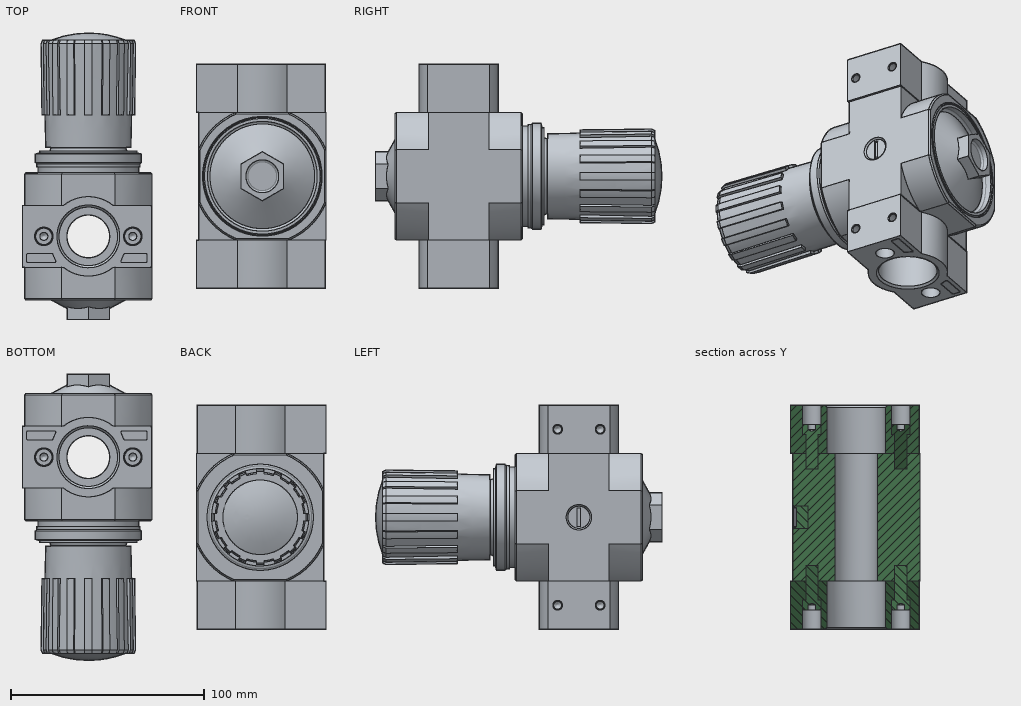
import cadquery as cq
import math


housing_half = 33.0
corner_radius = 35.75
arm_half_width = 15.6
end_chamfer = 0.8
flow_bore_dia = 22.0

bonnet_radius = 26.1
bead_radius = 26.8
bead_low_y = 36.0
bead_high_y = 37.5
ring_radius = 27.5
ring_low_y = 38.3
ring_shoulder_y = 42.6
ring_step_radius = 26.6
ring_step_y = 42.9
ring_top_radius = 50.38 / 2
ring_lip_y = 43.2
ring_top_y = 44.2
neck_base_radius = 40.0 / 2
neck_waist_radius = 39.0 / 2
neck_waist_y = 45.6

knob_base_y = 46.0
rib_start_y = 62.9
knob_chamfer_y = 99.7
knob_top_y = 101.5
dome_top_y = 105.2
dome_radius = 19.3
knob_base_radius = 22.1
knob_top_radius = 23.3
knob_edge_radius = 22.6
rib_start_radius = 24.05
rib_top_radius = 24.5
rib_edge_radius = 23.7
rib_width = 3.85
rib_count = 16

cap_dia = 61.0
cap_chamfer = 0.6
cap_bore_mouth_chamfer = 0.45
cap_depth = 9.0
cap_rim_inner_radius = 28.4
cap_fillet = 1.3
cap_floor_depth = 4.3
cone_slope = 0.535
hexagon_flats = 22.0
hexagon_end_y = -43.0
recess_dia = 17.0
recess_depth = 3.5
recess_fillet = 1.05

block_height = 25.0
block_left_x = -34.1
block_right_x = 32.6
block_half_depth = 16.0
boss_dia = 41.1
port_dia = 30.29
port_chamfer = 1.1
side_hole_dia = 4.13
side_hole_mouth_dia = 5.0
side_hole_depth = 8.0
side_hole_y = 11.0
drill_point_angle = 118.0
pad_inset = 2.2
pad_inner_x = 16.5
pad_slant = 2.0
pad_near_y = -8.9
pad_far_y = -13.5
pad_depth = 0.2
pad_corner_radius = 0.6

screw_x = 23.0
screw_head_dia = 9.6
screw_head_top_dia = 8.5
screw_head_height = 5.0
screw_sink = 10.0
shank_dia = 6.3
shank_depth_in_housing = 8.0
socket_dia = 4.13
socket_depth = 2.5

plug_dia = 11.45
plug_hole_mouth_dia = 13.16
plug_length = 7.0
plug_slot_length = 9.6
plug_slot_width = 1.8
plug_slot_depth = 1.0

block_top_z = housing_half + block_height
plug_face_x = -housing_half + (plug_hole_mouth_dia - plug_dia) / 2
screw_top_z = block_top_z - screw_sink
screw_seat_z = screw_top_z - screw_head_height
screw_tip_z = housing_half - shank_depth_in_housing


def box(x0, x1, y0, y1, z0, z1):
    return cq.Workplane("XY").box(x1 - x0, y1 - y0, z1 - z0, centered=False).translate((x0, y0, z0))


def y_cylinder(dia, y0, y1):
    """Cylinder about the Y axis."""
    return cq.Workplane("XZ", origin=(0, y1, 0)).circle(dia / 2).extrude(y1 - y0)


def turned_about_y(outline):
    """Turn an XY outline, with radius as X, about the Y axis."""
    return outline.close().revolve(360, (0, 0, 0), (0, 1, 0))


def drilled_hole(dia, depth):
    """Cutter that enters from the origin along +Z and ends in a drill point."""
    point_height = dia / 2 / math.tan(math.radians(drill_point_angle / 2))
    outline = (
        cq.Workplane("XZ")
        .lineTo(dia / 2, 0)
        .lineTo(dia / 2, depth)
        .lineTo(0, depth + point_height)
    )
    return outline.close().revolve(360, (0, 0, 0), (0, 1, 0))


def cone_frustum(start_dia, end_dia, height):
    """Cone from the origin along +Z."""
    return cq.Workplane("XY").circle(start_dia / 2).workplane(offset=height).circle(end_dia / 2).loft()


def along_x(shape):
    """Turn a shape so that its Z axis points along +X."""
    return shape.rotate((0, 0, 0), (0, 1, 0), 90)


def make_bonnet():
    outline = cq.Workplane("XY").moveTo(0, housing_half).polyline(
        [
            (bonnet_radius, housing_half),
            (bonnet_radius, bead_low_y),
            (bead_radius, bead_low_y),
            (bead_radius, bead_high_y),
            (ring_radius, ring_low_y),
            (ring_radius, ring_shoulder_y),
            (ring_step_radius, ring_step_y),
            (ring_top_radius, ring_lip_y),
            (ring_top_radius, ring_top_y),
            (neck_base_radius, ring_top_y),
            (neck_waist_radius, neck_waist_y),
            (neck_waist_radius, knob_base_y),
            (0, knob_base_y),
        ],
        includeCurrent=True,
    )
    return turned_about_y(outline)


def make_housing():
    side = 2 * housing_half
    barrel = cq.Workplane("XY").box(side, side, side)
    barrel = barrel.intersect(y_cylinder(2 * corner_radius, -housing_half, housing_half))
    barrel = barrel.faces("<Y or >Y").chamfer(end_chamfer)
    arms = cq.Workplane("XY").box(side, 2 * arm_half_width, side)
    body = barrel.union(arms).union(make_bonnet())

    body = body.cut(cq.Workplane("XY").circle(flow_bore_dia / 2).extrude(side, both=True))
    body = body.cut(y_cylinder(cap_dia, -housing_half, -housing_half + cap_depth))
    cap_bore_mouth_dia = cap_dia + 2 * cap_bore_mouth_chamfer
    cap_bore_mouth = cone_frustum(cap_bore_mouth_dia, cap_dia, cap_bore_mouth_chamfer)
    cap_bore_mouth = cap_bore_mouth.rotate((0, 0, 0), (1, 0, 0), -90)
    body = body.cut(cap_bore_mouth.translate((0, -housing_half, 0)))
    plug_hole = cone_frustum(plug_hole_mouth_dia, plug_dia, plug_face_x + housing_half)
    body = body.cut(along_x(plug_hole).translate((-housing_half, 0, 0)))
    plug_bore = cq.Workplane("XY").circle(plug_dia / 2).extrude(plug_length)
    body = body.cut(along_x(plug_bore).translate((plug_face_x, 0, 0)))
    for x in (-screw_x, screw_x):
        shank_hole = cq.Workplane("XY").circle(shank_dia / 2).extrude(shank_depth_in_housing)
        body = body.cut(shank_hole.translate((x, 0, screw_tip_z)))
        body = body.cut(shank_hole.translate((x, 0, -housing_half)))
    return body


def make_knob():
    core_outline = (
        cq.Workplane("XY")
        .moveTo(0, knob_base_y)
        .lineTo(knob_base_radius, knob_base_y)
        .lineTo(knob_top_radius, knob_chamfer_y)
        .lineTo(knob_edge_radius, knob_top_y)
        .lineTo(dome_radius, knob_top_y)
    )
    dome_height = dome_top_y - knob_top_y
    sphere_radius = (dome_radius**2 + dome_height**2) / (2 * dome_height)
    mid_angle = math.asin(dome_radius / sphere_radius) / 2
    dome_middle = (
        sphere_radius * math.sin(mid_angle),
        dome_top_y - sphere_radius * (1 - math.cos(mid_angle)),
    )
    core = turned_about_y(core_outline.threePointArc(dome_middle, (0, dome_top_y)))

    rib_outline = (
        cq.Workplane("XY")
        .moveTo(0, rib_start_y)
        .lineTo(rib_start_radius, rib_start_y)
        .lineTo(rib_top_radius, knob_chamfer_y)
        .lineTo(rib_edge_radius, knob_top_y)
        .lineTo(0, knob_top_y)
    )
    rib_envelope = turned_about_y(rib_outline)
    bars = cq.Workplane("XY")
    for index in range(rib_count // 2):
        bar = box(
            -rib_top_radius, rib_top_radius, rib_start_y, knob_top_y, -rib_width / 2, rib_width / 2
        )
        bars = bars.union(bar.rotate((0, 0, 0), (0, 1, 0), index * 360 / rib_count))
    return core.union(bars.intersect(rib_envelope))


def make_cap():
    rim_y = -housing_half
    floor_y = rim_y + cap_floor_depth
    floor_radius = cap_rim_inner_radius - cap_fillet
    cone_top_radius = recess_dia / 2
    cone_top_y = floor_y - (floor_radius - cone_top_radius) * cone_slope
    fillet_centre = (floor_radius, floor_y - cap_fillet)
    fillet_middle = (
        fillet_centre[0] + cap_fillet * math.sqrt(0.5),
        fillet_centre[1] + cap_fillet * math.sqrt(0.5),
    )
    outline = (
        cq.Workplane("XY")
        .moveTo(0, cone_top_y)
        .lineTo(cone_top_radius, cone_top_y)
        .lineTo(floor_radius, floor_y)
        .threePointArc(fillet_middle, (cap_rim_inner_radius, fillet_centre[1]))
        .lineTo(cap_rim_inner_radius, rim_y)
        .lineTo(cap_dia / 2 - cap_chamfer, rim_y)
        .lineTo(cap_dia / 2, rim_y + cap_chamfer)
        .lineTo(cap_dia / 2, rim_y + cap_depth)
        .lineTo(0, rim_y + cap_depth)
    )
    cap = turned_about_y(outline)

    hexagon_corners = hexagon_flats / math.cos(math.pi / 6)
    hexagon = (
        cq.Workplane("XZ", origin=(0, floor_y, 0))
        .transformed(rotate=(0, 0, 90))
        .polygon(6, hexagon_corners)
        .extrude(floor_y - hexagon_end_y)
    )
    recess = y_cylinder(recess_dia, hexagon_end_y, hexagon_end_y + recess_depth)
    return cap.union(hexagon).cut(recess.faces(">Y").edges().fillet(recess_fillet))


def make_pad(outer_x, inner_x):
    """Shallow label recess with one slanted end towards the port."""
    slant = math.copysign(pad_slant, inner_x)
    return (
        cq.Workplane("XY", origin=(0, 0, block_top_z - pad_depth))
        .polyline(
            [
                (outer_x, pad_far_y),
                (inner_x, pad_far_y),
                (inner_x + slant, pad_near_y),
                (outer_x, pad_near_y),
            ]
        )
        .close()
        .extrude(pad_depth)
        .edges("|Z")
        .fillet(pad_corner_radius)
    )


def make_upper_block():
    block = box(
        block_left_x, block_right_x, -block_half_depth, block_half_depth, housing_half, block_top_z
    )
    base = cq.Workplane("XY", origin=(0, 0, housing_half))
    block = block.union(base.circle(boss_dia / 2).extrude(block_height))
    block = block.cut(base.circle(port_dia / 2).extrude(block_height))
    port_mouth = cone_frustum(port_dia, port_dia + 2 * port_chamfer, port_chamfer)
    block = block.cut(port_mouth.translate((0, 0, block_top_z - port_chamfer)))

    for x in (-screw_x, screw_x):
        shank_hole = cq.Workplane("XY").circle(shank_dia / 2).extrude(block_height)
        block = block.cut(shank_hole.translate((x, 0, housing_half)))
        head_hole = cq.Workplane("XY").circle(screw_head_dia / 2).extrude(block_top_z - screw_seat_z)
        block = block.cut(head_hole.translate((x, 0, screw_seat_z)))

    mouth_depth = (side_hole_mouth_dia - side_hole_dia) / 2
    side_hole = drilled_hole(side_hole_dia, side_hole_depth)
    side_hole = side_hole.union(cone_frustum(side_hole_mouth_dia, side_hole_dia, mouth_depth))
    for y in (-side_hole_y, side_hole_y):
        place = (block_left_x, y, housing_half + block_height / 2)
        block = block.cut(along_x(side_hole).translate(place))

    block = block.cut(make_pad(block_left_x + pad_inset, -pad_inner_x))
    return block.cut(make_pad(block_right_x - pad_inset, pad_inner_x))


def make_upper_screw(x):
    head_chamfer = (screw_head_dia - screw_head_top_dia) / 2
    head = cq.Workplane("XY", origin=(0, 0, screw_seat_z)).circle(screw_head_dia / 2)
    head = head.extrude(screw_head_height).faces(">Z").chamfer(head_chamfer)
    shank = cq.Workplane("XY", origin=(0, 0, screw_tip_z)).circle(shank_dia / 2)
    screw = head.union(shank.extrude(screw_seat_z - screw_tip_z))
    socket = drilled_hole(socket_dia, socket_depth).rotate((0, 0, 0), (1, 0, 0), 180)
    return screw.cut(socket.translate((0, 0, screw_top_z))).translate((x, 0, 0))


def make_plug():
    plug = cq.Workplane("XY").circle(plug_dia / 2).extrude(plug_length)
    slot = cq.Workplane("XY").rect(plug_slot_length, plug_slot_width).extrude(plug_slot_depth)
    return along_x(plug.cut(slot)).translate((plug_face_x, 0, 0))


housing = make_housing()
knob = make_knob()
cap = make_cap()
plug = make_plug()

upper_block = make_upper_block()
blocks = [upper_block, upper_block.mirror("XY")]

screws = []
for screw_place in (-screw_x, screw_x):
    upper_screw = make_upper_screw(screw_place)
    screws += [upper_screw, upper_screw.mirror("XY")]

bodies = [housing, knob, cap, plug, *blocks, *screws]
result = cq.Compound.makeCompound([body.solids().val() for body in bodies])